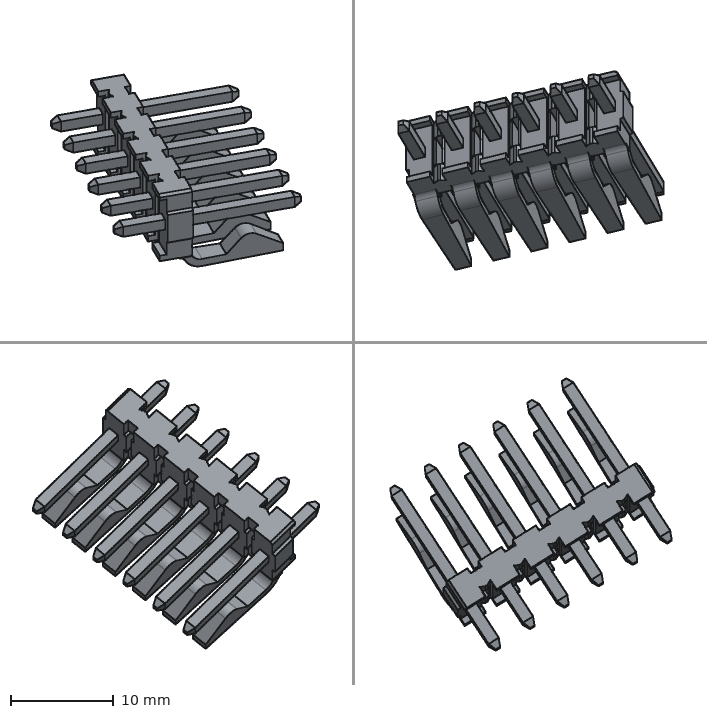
import cadquery as cq
import math


pin_count = 6
pitch = 3.95
pin_positions = [(i - (pin_count - 1) / 2) * pitch for i in range(pin_count)]
gap_positions = [x + pitch / 2 for x in pin_positions[:-1]]

pin_size = 1.18
pin_tip_size = 0.52
pin_tip_length = 0.77
pin_back = 11.4
pin_length = 19.05
pin_front = pin_back - pin_length

overall_width = 22.63
ear_reach = 0.35
housing_width = overall_width - 2 * ear_reach
housing_top = 3.82
housing_bottom = -3.82
wall_depth = 2.6
lip_reach = 0.7
housing_depth = wall_depth + lip_reach
top_lip_height = 0.6
bottom_lip_height = 0.65
corner_chamfer = 0.27

gap_width = 1.27
back_notch_depth = 0.59
web_front = -2.2
web_ridge_height = 0.25
web_ridge_flat = 0.27
window_height = 3.53

ear_root_height = window_height
ear_height = 3.21
inner_ear_reach = 0.32

clip_bottom = -5.2
clip_thickness = 0.84
clip_top = clip_bottom + clip_thickness
clip_tip = 9.4
clip_root_width = 2.29
clip_tip_width = 1.67
bend_start = 1.0
bend_angle = 60.0
bend_inner_radius = 1.15
bend_outer_radius = bend_inner_radius + clip_thickness
flare_radius = 0.8
hump_front = 3.5
hump_front_angle = 45.0
hump_back_angle = 31.6
hump_radius = 1.3


def box(x_range, y_range, z_range):
    """Axis-aligned block between the given limits."""
    size = [high - low for low, high in (x_range, y_range, z_range)]
    corner = (x_range[0], y_range[0], z_range[0])
    return cq.Workplane("XY").box(*size, centered=False).translate(corner)


def end_ear(x_root, direction):
    """Band with sloped edges on an end face, reaching out along +X or -X."""
    root = ear_root_height / 2
    outer = ear_height / 2
    x_outer = x_root + direction * ear_reach
    outline = [(x_root, -root), (x_outer, -outer), (x_outer, outer), (x_root, root)]
    return cq.Workplane("XZ").polyline(outline).close().extrude(wall_depth)


def front_notch(x):
    """Cutter that clears the front of a gap and leaves a ridge on what stays behind it."""
    half_gap = gap_width / 2
    half_flat = web_ridge_flat / 2
    ridge_front = web_front - web_ridge_height
    outline = [
        (x - half_gap, -housing_depth),
        (x + half_gap, -housing_depth),
        (x + half_gap, web_front),
        (x + half_flat, ridge_front),
        (x - half_flat, ridge_front),
        (x - half_gap, web_front),
    ]
    base = cq.Workplane("XY").workplane(offset=housing_bottom)
    return base.polyline(outline).close().extrude(housing_top - housing_bottom)


def open_gap(body, x):
    """Open the gap at x: back notch, window with an ear on each side, front notch."""
    left = x - gap_width / 2
    right = x + gap_width / 2
    depth_range = (-housing_depth, 0)
    ear_range = (-ear_height / 2, ear_height / 2)
    body = body.cut(box((left, right), (-back_notch_depth, 0), (housing_bottom, housing_top)))
    body = body.cut(box((left, right), depth_range, (-window_height / 2, window_height / 2)))
    body = body.union(box((left, left + inner_ear_reach), depth_range, ear_range))
    body = body.union(box((right - inner_ear_reach, right), depth_range, ear_range))
    return body.cut(front_notch(x))


def make_housing():
    half_width = housing_width / 2
    x_range = (-half_width, half_width)
    body = box(x_range, (-housing_depth, 0), (housing_bottom, housing_top))
    body = body.edges("|Y and >Z").chamfer(corner_chamfer)

    recess_heights = (housing_bottom + bottom_lip_height, housing_top - top_lip_height)
    body = body.cut(box(x_range, (-housing_depth, -wall_depth), recess_heights))

    for x in gap_positions:
        body = open_gap(body, x)

    return body.union(end_ear(-half_width, -1)).union(end_ear(half_width, 1))


def pin_tip(y_base, direction):
    """Pyramid-shaped pin end pointing along +Y or -Y."""
    base = cq.Workplane(cq.Plane((0, y_base, 0), xDir=(1, 0, 0), normal=(0, direction, 0)))
    base = base.rect(pin_size, pin_size).workplane(offset=pin_tip_length)
    return base.rect(pin_tip_size, pin_tip_size).loft(ruled=True)


def make_pin():
    half = pin_size / 2
    shank_back = pin_back - pin_tip_length
    shank_front = pin_front + pin_tip_length
    shank = box((-half, half), (shank_front, shank_back), (-half, half))
    return shank.union(pin_tip(shank_back, 1)).union(pin_tip(shank_front, -1))


def make_clip():
    """Tapered spring leaf with a rounded hump, bent up to the housing underside."""
    bend_centre_z = clip_top + bend_inner_radius

    def bend_point(radius, angle):
        return (bend_start - radius * math.sin(angle), bend_centre_z - radius * math.cos(angle))

    inner_angle = math.acos((bend_centre_z - housing_bottom) / bend_inner_radius)
    inner_end = bend_point(bend_inner_radius, inner_angle)

    outer_angle = math.radians(bend_angle)
    outer_end = bend_point(bend_outer_radius, outer_angle)
    flare_centre_y, flare_centre_z = bend_point(bend_outer_radius + flare_radius, outer_angle)
    flare_end_angle = math.acos((housing_bottom - flare_centre_z) / flare_radius)

    def flare_point(angle):
        return (
            flare_centre_y + flare_radius * math.sin(angle),
            flare_centre_z + flare_radius * math.cos(angle),
        )

    flare_end = flare_point(flare_end_angle)

    front_slope = math.tan(math.radians(hump_front_angle))
    back_slope = math.tan(math.radians(hump_back_angle))
    apex_height = (clip_tip - hump_front) / (1 / front_slope + 1 / back_slope)
    apex = (hump_front + apex_height / front_slope, clip_top + apex_height)

    leaf = (
        cq.Workplane("YZ")
        .moveTo(clip_tip, clip_bottom)
        .lineTo(bend_start, clip_bottom)
        .threePointArc(bend_point(bend_outer_radius, outer_angle / 2), outer_end)
        .threePointArc(flare_point((outer_angle + flare_end_angle) / 2), flare_end)
        .lineTo(*inner_end)
        .threePointArc(bend_point(bend_inner_radius, inner_angle / 2), (bend_start, clip_top))
        .lineTo(hump_front, clip_top)
        .lineTo(*apex)
        .lineTo(clip_tip, clip_top)
        .close()
        .extrude(pitch / 2, both=True)
    )
    leaf = leaf.edges(cq.selectors.NearestToPointSelector((0, *apex))).fillet(hump_radius)

    root_y = flare_end[0]
    taper = (clip_root_width - clip_tip_width) / 2 / clip_tip
    tip_half = clip_tip_width / 2
    root_half = tip_half + taper * (clip_tip - root_y)
    outline = [(-root_half, root_y), (root_half, root_y), (tip_half, clip_tip), (-tip_half, clip_tip)]
    plan = cq.Workplane("XY").workplane(offset=clip_bottom).polyline(outline).close()
    return leaf.intersect(plan.extrude(-clip_bottom))


pin = make_pin()
clip = make_clip()

result = make_housing()
for pin_x in pin_positions:
    result = result.union(pin.translate((pin_x, 0, 0)))
    result = result.union(clip.translate((pin_x, 0, 0)))